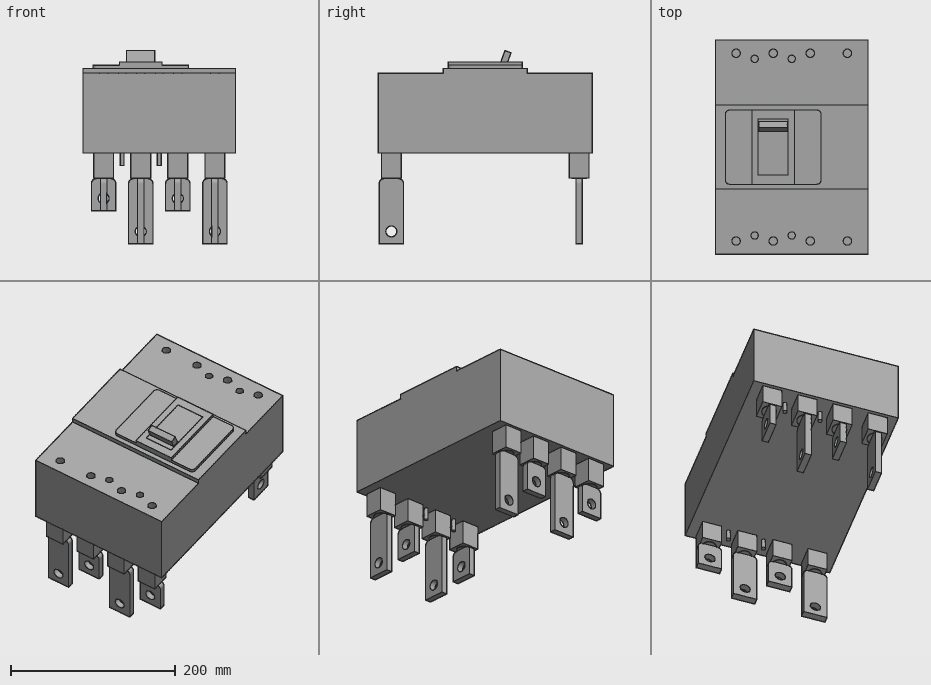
import cadquery as cq
import math


HOUSING_WIDTH = 185.0
HOUSING_LENGTH = 260.0
HOUSING_HEIGHT = 97.0
BAND_LENGTH = 102.0
BAND_HEIGHT = 6.0
BAND_TOP = HOUSING_HEIGHT + BAND_HEIGHT

POLE_COUNT = 4
POLE_PITCH = 45.0
POLE_XS = [(i - (POLE_COUNT - 1) / 2) * POLE_PITCH for i in range(POLE_COUNT)]
ROW_Y = 114.0
ROW_SIDES = (-1, 1)

ESCUTCHEON_X = POLE_XS[1]
ESCUTCHEON_WIDTH = 116.0
ESCUTCHEON_LENGTH = 90.0
ESCUTCHEON_HEIGHT = 4.0
ESCUTCHEON_CORNER = 5.0
STRIP_WIDTH = 52.0
STRIP_HEIGHT = 4.0
STRIP_TOP = BAND_TOP + ESCUTCHEON_HEIGHT + STRIP_HEIGHT
WINDOW_WIDTH = 36.5
WINDOW_LENGTH = 68.0
WINDOW_DEPTH = 0.3

TOGGLE_WIDTH = 34.5
TOGGLE_THICKNESS = 8.0
TOGGLE_TILT = 20.0
TOGGLE_RISE = 13.8
TOGGLE_FRONT_Y = 18.7

POST_SIZE = 24.5
POST_HEIGHT = 30.2
NECK_DIAMETER = 18.0
NECK_HEIGHT = 0.8
BLADE_WIDTH = 30.0
BLADE_THICKNESS = 8.0
BLADE_CORNER = 6.0
BLADE_TOP = -(POST_HEIGHT + NECK_HEIGHT)
SHORT_BLADE_BOTTOM = -70.0
LONG_BLADE_BOTTOM = -110.0
BLADE_HOLE_DIAMETER = 13.0
BLADE_HOLE_FROM_END = 15.0

ACCESS_DEPTH = 26.0
ACCESS_FLOOR = HOUSING_HEIGHT - ACCESS_DEPTH
TERMINAL_ACCESS_DIAMETER = 10.1

SCREW_ROW_Y = 107.0
SCREW_XS = [ESCUTCHEON_X + side * POLE_PITCH / 2 for side in (-1, 1)]
SCREW_POSITIONS = [(x, side * SCREW_ROW_Y) for side in ROW_SIDES for x in SCREW_XS]
HEAD_DIAMETER = 8.8
HEAD_HEIGHT = 5.2
SHANK_DIAMETER = 5.0
SHANK_PROTRUSION = 15.0


def block(width, length, height, bottom, x=0.0, y=0.0):
    """Box centred on (x, y) that stands on the level `bottom`."""
    base = cq.Workplane("XY", origin=(x, y, bottom))
    return base.box(width, length, height, centered=(True, True, False))


def cylinder(diameter, bottom, top, x, y):
    """Vertical cylinder between two levels."""
    return cq.Workplane("XY", origin=(x, y, bottom)).circle(diameter / 2).extrude(top - bottom)


def make_escutcheon():
    """Round-cornered pad with a raised strip and a very shallow toggle window."""
    pad = block(ESCUTCHEON_WIDTH, ESCUTCHEON_LENGTH, ESCUTCHEON_HEIGHT, BAND_TOP, ESCUTCHEON_X)
    pad = pad.edges("|Z").fillet(ESCUTCHEON_CORNER)
    strip = block(STRIP_WIDTH, ESCUTCHEON_LENGTH, STRIP_HEIGHT, STRIP_TOP - STRIP_HEIGHT, ESCUTCHEON_X)
    window = block(WINDOW_WIDTH, WINDOW_LENGTH, WINDOW_DEPTH, STRIP_TOP - WINDOW_DEPTH, ESCUTCHEON_X)
    return pad.union(strip).cut(window)


def make_toggle():
    """Lever that leans toward +Y; its lower end stands on the window floor."""
    tilt = math.radians(TOGGLE_TILT)
    floor = STRIP_TOP - WINDOW_DEPTH
    tip_z = STRIP_TOP + TOGGLE_RISE
    tip_y = TOGGLE_FRONT_Y + (tip_z - floor) * math.tan(tilt)
    back_tip_y = tip_y + TOGGLE_THICKNESS * math.cos(tilt)
    back_tip_z = tip_z - TOGGLE_THICKNESS * math.sin(tilt)
    foot_length = TOGGLE_THICKNESS / math.cos(tilt)
    return (
        cq.Workplane("YZ", origin=(ESCUTCHEON_X, 0, 0))
        .moveTo(TOGGLE_FRONT_Y, floor)
        .lineTo(tip_y, tip_z)
        .lineTo(back_tip_y, back_tip_z)
        .lineTo(TOGGLE_FRONT_Y + foot_length, floor)
        .close()
        .extrude(TOGGLE_WIDTH / 2, both=True)
    )


def make_blade(bottom):
    """Flat bar, wide in X, with rounded upper corners and a bolt hole near its lower end."""
    blade = block(BLADE_WIDTH, BLADE_THICKNESS, BLADE_TOP - bottom, bottom)
    blade = blade.edges("|Y and >Z").fillet(BLADE_CORNER)
    hole = (
        cq.Workplane("XZ", origin=(0, 0, bottom + BLADE_HOLE_FROM_END))
        .circle(BLADE_HOLE_DIAMETER / 2)
        .extrude(BLADE_THICKNESS, both=True)
    )
    return blade.cut(hole)


def make_terminal(x, side, bottom):
    """Square post, round neck and blade; the blades of the -Y row are turned wide in Y."""
    y = side * ROW_Y
    post = block(POST_SIZE, POST_SIZE, POST_HEIGHT, -POST_HEIGHT, x, y)
    neck = cylinder(NECK_DIAMETER, BLADE_TOP, -POST_HEIGHT, x, y)
    blade_turn = -90 if side < 0 else 0
    blade = make_blade(bottom).rotate((0, 0, 0), (0, 0, 1), blade_turn).translate((x, y, 0))
    return post.union(neck).union(blade)


def make_screw(x, y):
    """Mounting screw whose head fills the lower end of its access hole."""
    head_bottom = ACCESS_FLOOR - HEAD_HEIGHT
    head = cylinder(HEAD_DIAMETER, head_bottom, ACCESS_FLOOR, x, y)
    shank = cylinder(SHANK_DIAMETER, -SHANK_PROTRUSION, head_bottom, x, y)
    return head.union(shank)


def make_housing():
    """Stepped case in one piece with its escutcheon, toggle and terminals."""
    housing = block(HOUSING_WIDTH, HOUSING_LENGTH, HOUSING_HEIGHT, 0)
    housing = housing.union(block(HOUSING_WIDTH, BAND_LENGTH, BAND_HEIGHT, HOUSING_HEIGHT))
    housing = housing.union(make_escutcheon()).union(make_toggle())
    for side in ROW_SIDES:
        for index, x in enumerate(POLE_XS):
            bottom = LONG_BLADE_BOTTOM if index % 2 else SHORT_BLADE_BOTTOM
            housing = housing.union(make_terminal(x, side, bottom))
            access = cylinder(TERMINAL_ACCESS_DIAMETER, ACCESS_FLOOR, HOUSING_HEIGHT, x, side * ROW_Y)
            housing = housing.cut(access)
    for x, y in SCREW_POSITIONS:
        access = cylinder(HEAD_DIAMETER, ACCESS_FLOOR, HOUSING_HEIGHT, x, y)
        housing = housing.cut(access).cut(make_screw(x, y))
    return housing


housing = make_housing()
screws = [make_screw(x, y) for x, y in SCREW_POSITIONS]

result = cq.Compound.makeCompound([housing.val(), *[screw.val() for screw in screws]])